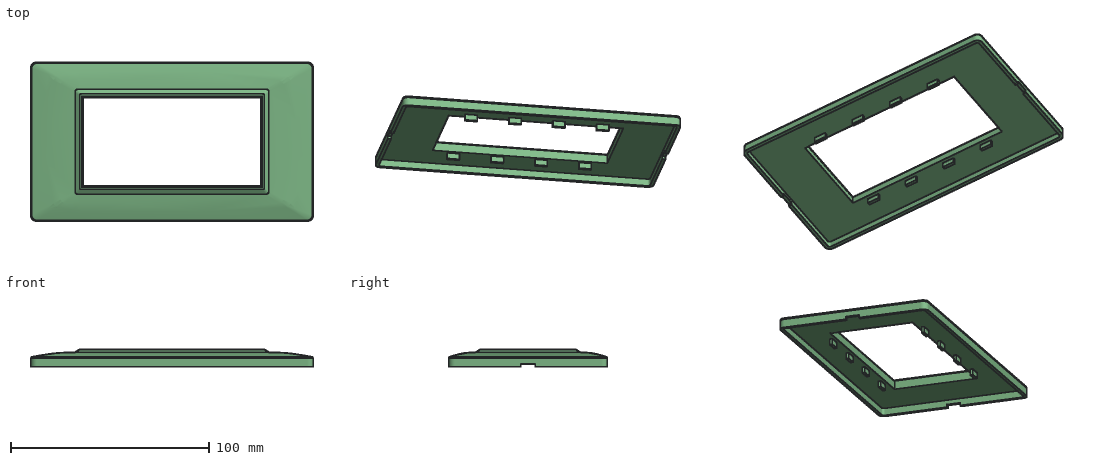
import cadquery as cq

length = 142.4
width = 80.0
height = 8.8
corner_radius = 3.0

wall_top = 4.3
bevel_height = 0.9
bevel_inset = 0.4
face_start = wall_top + bevel_height

rim_base_length = 97.7
rim_base_width = 53.0
rim_base_z = 7.4
dome_bulge = 0.4
guide_steps = 6

rim_top_length = 93.1
rim_top_width = 48.1
rim_top_radius = 0.7
rim_base_radius = 1.4
rim_sink = 1.1

window_length = 89.4
window_width = 44.5
window_bevel_inset = 0.7
window_bevel_depth = 0.7

skirt_thickness = 1.7
pocket_depth = 3.7
notch_width = 7.1
notch_height = 1.4

clip_count = 4
clip_pitch = 22.5
clip_length = 6.3
clip_thickness = 1.4
clip_drop = 3.0
clip_setback = 1.9


def rounded_block(size_x, size_y, radius, bottom, top):
    block = cq.Workplane("XY").box(size_x, size_y, top - bottom, centered=(True, True, False))
    return block.edges("|Z").fillet(radius).translate((0, 0, bottom))


def tapered_block(sections):
    """Straight-sided loft through (size_x, size_y, corner radius, z) rounded rectangles."""
    outlines = [
        cq.Sketch().rect(size_x, size_y).vertices().fillet(radius).moved(cq.Location(cq.Vector(0, 0, z)))
        for size_x, size_y, radius, z in sections
    ]
    return cq.Workplane("XY").placeSketch(*outlines).loft(ruled=True)


face_length = length - 2 * bevel_inset
face_width = width - 2 * bevel_inset
face_radius = corner_radius - bevel_inset

wall_section = (length, width, corner_radius, wall_top)
face_section = (face_length, face_width, face_radius, face_start)

sink_share = rim_sink / (height - rim_base_z)
rim_root_section = (
    rim_base_length + sink_share * (rim_base_length - rim_top_length),
    rim_base_width + sink_share * (rim_base_width - rim_top_width),
    rim_base_radius + sink_share * (rim_base_radius - rim_top_radius),
    rim_base_z - rim_sink,
)
rim_top_section = (rim_top_length, rim_top_width, rim_top_radius, height)


def rectangle_points(size_x, size_y, z):
    """Points spread evenly along the four sides of a centred rectangle."""
    points = []
    for index in range(guide_steps):
        share = index / guide_steps - 0.5
        points += [(share * size_x, -size_y / 2, z), (size_x / 2, share * size_y, z)]
        points += [(-share * size_x, size_y / 2, z), (-size_x / 2, -share * size_y, z)]
    return points


def dome():
    """Solid under one smooth skin that passes through the rim base and is flat at the middle."""
    mid_x = (face_length + rim_base_length) / 2
    mid_y = (face_width + rim_base_width) / 2
    mid_z = (face_start + rim_base_z) / 2 + dome_bulge
    guides = rectangle_points(rim_base_length, rim_base_width, rim_base_z)
    guides += rectangle_points(mid_x, mid_y, mid_z)
    guides += [(0, 0, rim_base_z)]
    base = rounded_block(face_length, face_width, face_radius, wall_top, face_start)
    outline = base.faces(">Z").edges().vals()
    skin = cq.Face.makeNSidedSurface(outline, [cq.Vector(*point) for point in guides])
    sides = base.faces("not >Z").vals()
    return cq.Workplane(cq.Solid.makeSolid(cq.Shell.makeShell([skin] + sides)))


body = rounded_block(length, width, corner_radius, 0, wall_top)
body = body.union(tapered_block([wall_section, face_section]))
body = body.union(dome())
body = body.union(tapered_block([rim_root_section, rim_top_section]))

pocket = rounded_block(
    length - 2 * skirt_thickness,
    width - 2 * skirt_thickness,
    corner_radius - skirt_thickness,
    0,
    pocket_depth,
)
body = body.cut(pocket)

clip_offset = (window_width + clip_thickness) / 2 + clip_setback
clip_bottom = pocket_depth - clip_drop
clip = cq.Workplane("XY").box(clip_length, clip_thickness, clip_drop, centered=(True, True, False))
for index in range(clip_count):
    clip_x = (index - (clip_count - 1) / 2) * clip_pitch
    for side in (-1, 1):
        body = body.union(clip.translate((clip_x, side * clip_offset, clip_bottom)))

body = body.cut(cq.Workplane("XY").rect(window_length, window_width).extrude(height))
window_bevel = (
    cq.Workplane("XY", origin=(0, 0, height))
    .rect(window_length + 2 * window_bevel_inset, window_width + 2 * window_bevel_inset)
    .workplane(offset=-window_bevel_depth)
    .rect(window_length, window_width)
    .loft(ruled=True)
)
body = body.cut(window_bevel)

result = body.cut(cq.Workplane("XY").box(length, notch_width, notch_height, centered=(True, True, False)))